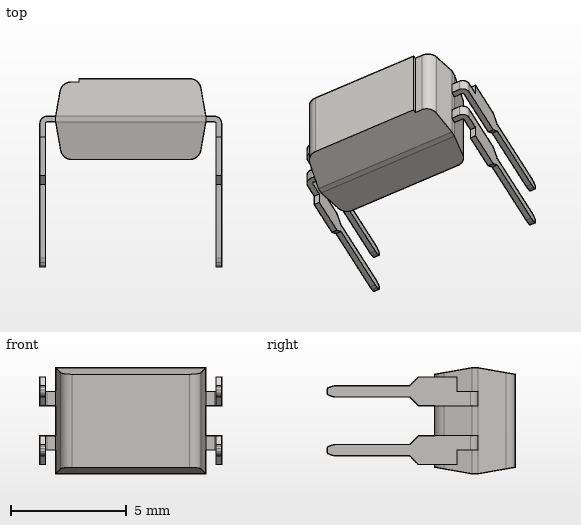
import cadquery as cq
import math


overall_width = 7.87
overall_length = 8.15

housing_width = 6.5
housing_depth = 3.505
housing_height = 4.6
draft_angle = 10
corner_radius = 0.5
notch_width = 1.01
notch_depth = 0.15

sheet_thickness = 0.25
lead_pitch = 2.54
bend_inner_radius = 0.065
blade_width = 1.255
pin_width = 0.5
step_y = -0.78
taper_start_y = -2.445
point_length = 0.29
point_end_width = 0.285
point_shoulder_radius = 0.555
point_end_radius = 0.115

half_width = housing_width / 2
half_depth = housing_depth / 2
half_height = housing_height / 2
half_sheet = sheet_thickness / 2
draft_inset = (half_depth - half_sheet) * math.tan(math.radians(draft_angle))
leg_outer_x = overall_width / 2
leg_inner_x = leg_outer_x - sheet_thickness
bend_outer_radius = bend_inner_radius + sheet_thickness
tip_y = half_depth - overall_length
lead_z = lead_pitch / 2


def drafted_outline(plane, half_span):
    """Octagon with a straight band at the lead sheet and drafted flanks on both sides of it."""
    end_span = half_span - draft_inset
    corners = [
        (-end_span, -half_depth),
        (end_span, -half_depth),
        (half_span, -half_sheet),
        (half_span, half_sheet),
        (end_span, half_depth),
        (-end_span, half_depth),
        (-half_span, half_sheet),
        (-half_span, -half_sheet),
    ]
    if plane == "YZ":
        corners = [(y, z) for z, y in corners]
    return cq.Workplane(plane).polyline(corners).close()


def make_housing():
    body = drafted_outline("XY", half_width).extrude(half_height, both=True)

    notch = (
        cq.Workplane("XY")
        .rect(2 * notch_width, 2 * notch_depth)
        .extrude(half_height, both=True)
        .translate((-half_width, half_depth, 0))
    )
    body = body.cut(notch)

    corner_x = half_width - draft_inset
    for x, y in [
        (-corner_x, -half_depth),
        (corner_x, -half_depth),
        (corner_x, half_depth),
        (-corner_x, half_depth - notch_depth),
    ]:
        corner = cq.selectors.NearestToPointSelector((x, y, 0))
        body = body.edges("|Z").edges(corner).fillet(corner_radius)

    ends = drafted_outline("YZ", half_height).extrude(half_width, both=True)
    return body.intersect(ends)


def bent_sheet():
    """Sheet that leaves the +X housing side and bends toward -Y, wide enough in Z for the blade."""
    sheet = (
        cq.Workplane("XY")
        .moveTo(half_width, half_sheet)
        .lineTo(leg_outer_x - bend_outer_radius, half_sheet)
        .radiusArc((leg_outer_x, half_sheet - bend_outer_radius), bend_outer_radius)
        .lineTo(leg_outer_x, tip_y)
        .lineTo(leg_inner_x, tip_y)
        .lineTo(leg_inner_x, -half_sheet - bend_inner_radius)
        .radiusArc((leg_inner_x - bend_inner_radius, -half_sheet), -bend_inner_radius)
        .lineTo(half_width, -half_sheet)
        .close()
        .extrude(blade_width / 2, both=True)
    )
    return sheet.translate((0, 0, lead_z))


def lead_outline():
    """Side shape of a lead in Y and Z: half-width strip, blade, 45 degree taper, rounded pin."""
    blade_half = blade_width / 2
    pin_half = pin_width / 2
    end_half = point_end_width / 2
    taper_end_y = taper_start_y - (blade_half - pin_half)
    point_start_y = tip_y + point_length
    leg = (
        cq.Workplane("YZ")
        .polyline([
            (half_sheet, -blade_half),
            (half_sheet, 0),
            (step_y, 0),
            (step_y, blade_half),
            (taper_start_y, blade_half),
            (taper_end_y, pin_half),
            (point_start_y, pin_half),
            (tip_y, end_half),
            (tip_y, -end_half),
            (point_start_y, -pin_half),
            (taper_end_y, -pin_half),
            (taper_start_y, -blade_half),
        ])
        .close()
        .extrude(leg_outer_x)
    )
    mid_x = leg_outer_x / 2
    for side in (-1, 1):
        for y, z, radius in [
            (point_start_y, pin_half, point_shoulder_radius),
            (tip_y, end_half, point_end_radius),
        ]:
            corner = cq.selectors.NearestToPointSelector((mid_x, y, side * z))
            leg = leg.edges("|X").edges(corner).fillet(radius)
    return leg.translate((0, 0, lead_z))


def make_leads():
    lead = bent_sheet().intersect(lead_outline()).val()
    leads = []
    for side_lead in (lead, lead.mirror("YZ")):
        for placed_lead in (side_lead, side_lead.mirror("XY")):
            leads.extend(placed_lead.Solids())
    return leads


housing = make_housing()
leads = make_leads()

result = cq.Compound.makeCompound([housing.val(), *leads])